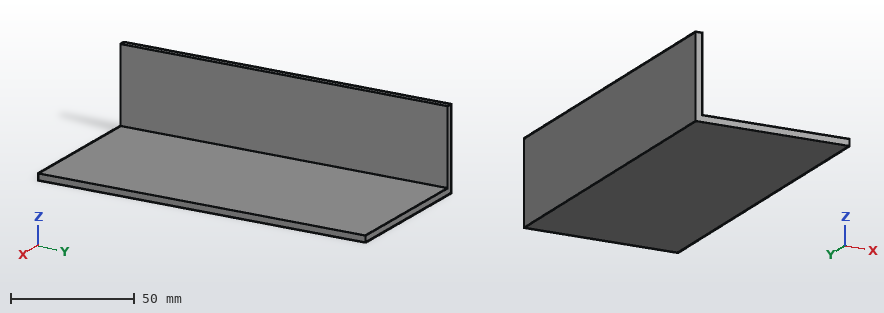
import cadquery as cq

length = 152.4
base_width = 69.8
wall_height = 38.1
thickness = 3.0

base = cq.Workplane("XY").box(base_width, length, thickness, centered=False)
wall = cq.Workplane("XY").box(thickness, length, wall_height, centered=False)

result = base.union(wall)